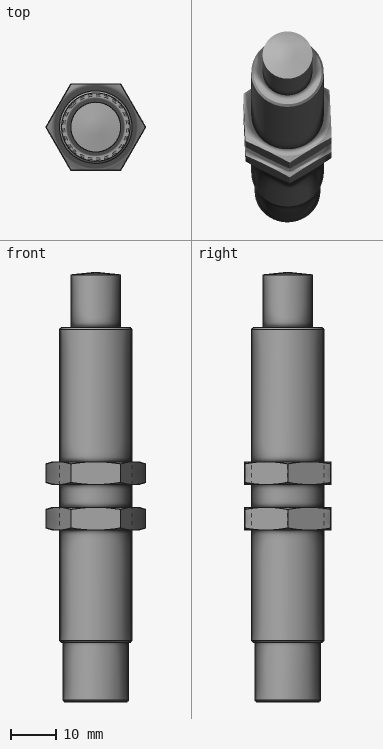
import cadquery as cq
import math

total_height = 94.5
tail_height = 13.0
barrel_top = 82.4
tip_cone_height = 0.6

tail_diameter = 14.5
barrel_diameter = 16.0
plunger_diameter = 11.0
edge_chamfer = 0.5
tail_chamfer = 0.4

nut_width = 19.0
nut_corner_diameter = nut_width / math.cos(math.radians(30))
nut_height = 5.0
nut_gap = 5.0
nut_corner_drop = 0.5
nut_count = 2
lower_nut_base = 37.8
nut_pitch = nut_height + nut_gap


def make_body():
    """Revolve the tail, barrel and conical-tipped plunger as one stepped solid."""
    tail_radius = tail_diameter / 2
    barrel_radius = barrel_diameter / 2
    plunger_radius = plunger_diameter / 2
    outline = [
        (0, 0),
        (tail_radius - tail_chamfer, 0),
        (tail_radius, tail_chamfer),
        (tail_radius, tail_height),
        (barrel_radius - edge_chamfer, tail_height),
        (barrel_radius, tail_height + edge_chamfer),
        (barrel_radius, barrel_top - edge_chamfer),
        (barrel_radius - edge_chamfer, barrel_top),
        (plunger_radius, barrel_top),
        (plunger_radius, total_height - tip_cone_height),
        (0, total_height),
    ]
    return cq.Workplane("XZ").polyline(outline).close().revolve(360, (0, 0), (0, 1))


def make_nut(base_height):
    """Hex nut with conically chamfered corners on both ends and a plain bore."""
    face_radius = nut_width / 2
    corner_radius = nut_corner_diameter / 2
    hexagon = cq.Workplane("XY").polygon(6, nut_corner_diameter).extrude(nut_height)
    chamfer_envelope = (
        cq.Workplane("XZ")
        .polyline([
            (0, 0),
            (face_radius, 0),
            (corner_radius, nut_corner_drop),
            (corner_radius, nut_height - nut_corner_drop),
            (face_radius, nut_height),
            (0, nut_height),
        ])
        .close()
        .revolve(360, (0, 0), (0, 1))
    )
    bore = cq.Workplane("XY").circle(barrel_diameter / 2).extrude(nut_height)
    return hexagon.intersect(chamfer_envelope).cut(bore).translate((0, 0, base_height))


body = make_body()
nuts = [make_nut(lower_nut_base + index * nut_pitch) for index in range(nut_count)]

result = cq.Compound.makeCompound([body.val(), *[nut.val() for nut in nuts]])